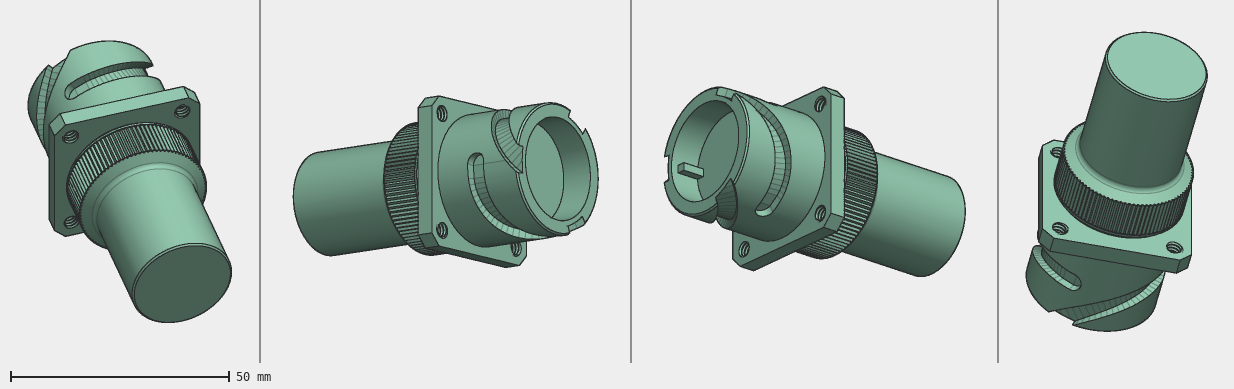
import cadquery as cq
import math

length = 68.2
body_radius = 15.35
tube_radius = 12.0

flange_side = 35.05
flange_front = 23.0
flange_back = 27.0
flange_corner = 2.65
hole_offset = 13.5
hole_radius = 1.65
thread_depth = 0.4
thread_start = -135.0
thread_pitch = 0.9

rim_chamfer = 0.4
socket_depth = 7.8
key_front = 2.0
key_width = 1.9
key_height = 2.1

neck_radius = 12.7
neck_chamfer = 0.7

ring_front = 28.1
ring_chamfer_length = 1.1
ring_chamfer_height = 0.95
knurl_front = 29.8
knurl_back = 38.8
tooth_count = 93
knurl_depth = 0.5

cone_angle = 60.0
cone_fillet = 1.5
tube_chamfer = 0.4

slot_count = 3
slot_width = 4.65
slot_depth = 2.1
slot_reach = 11.95
spiral_sweep = 109.0
lock_sweep = 13.0
slot_step = 5.2
lead_in = 10.0


def turned_body():
    """Solid of revolution holding the shell, neck, ring and tube."""
    slope = math.radians(cone_angle)
    fillet_rise = cone_fillet * (1 - math.cos(slope))
    cone_drop = body_radius - tube_radius - fillet_rise
    cone_end = knurl_back + cone_drop / math.tan(slope)
    fillet_end = cone_end + cone_fillet * math.sin(slope)
    fillet_middle = (
        fillet_end - cone_fillet * math.sin(slope / 2),
        tube_radius + cone_fillet * (1 - math.cos(slope / 2)),
    )
    profile = (
        cq.Workplane("XY")
        .lineTo(0, body_radius - rim_chamfer)
        .lineTo(rim_chamfer, body_radius)
        .lineTo(flange_back, body_radius)
        .lineTo(flange_back, neck_radius)
        .lineTo(ring_front - neck_chamfer, neck_radius)
        .lineTo(ring_front, neck_radius - neck_chamfer)
        .lineTo(ring_front, body_radius - ring_chamfer_height)
        .lineTo(ring_front + ring_chamfer_length, body_radius)
        .lineTo(knurl_back, body_radius)
        .lineTo(cone_end, tube_radius + fillet_rise)
        .threePointArc(fillet_middle, (fillet_end, tube_radius))
        .lineTo(length - tube_chamfer, tube_radius)
        .lineTo(length, tube_radius - tube_chamfer)
        .lineTo(length, 0)
        .close()
    )
    return profile.revolve(360, (0, 0, 0), (1, 0, 0))


def flange():
    """Square plate with cut corners."""
    return (
        cq.Workplane("YZ", origin=(flange_front, 0, 0))
        .rect(flange_side, flange_side)
        .extrude(flange_back - flange_front)
        .edges("|X")
        .chamfer(flange_corner)
    )


def thread_groove():
    """Cutter for the helical groove of a threaded hole on the X axis."""
    thickness = flange_back - flange_front
    overlap = 0.1
    groove_half_width = 0.45 * thread_pitch
    helix_start = flange_front - thread_pitch
    helix = cq.Wire.makeHelix(
        thread_pitch,
        thickness + 2 * thread_pitch,
        hole_radius,
        center=cq.Vector(helix_start, 0, 0),
        dir=cq.Vector(1, 0, 0),
    )
    start = helix.startPoint()
    outward = cq.Vector(0, start.y, start.z).normalized()
    across = cq.Vector(1, 0, 0)
    root = start - outward * overlap
    corners = [
        root - across * groove_half_width,
        start + outward * thread_depth,
        root + across * groove_half_width,
    ]
    section = cq.Wire.makePolygon(corners, close=True)
    groove = cq.Workplane(cq.Solid.sweep(section, [], helix, True, True))
    return groove.rotate((0, 0, 0), (1, 0, 0), thread_start)


def tapped_flange():
    """Flange with a threaded hole near each corner, each thread starting toward its corner."""
    plate = flange()
    groove = thread_groove()
    hole_distance = hole_offset * math.sqrt(2)
    for corner in range(4):
        angle = 45 + 90 * corner
        placed_groove = groove.translate((0, hole_distance, 0)).rotate((0, 0, 0), (1, 0, 0), angle)
        plate = plate.cut(placed_groove)
    return (
        plate.faces("<X")
        .workplane(origin=(flange_front, 0, 0))
        .rect(2 * hole_offset, 2 * hole_offset, forConstruction=True)
        .vertices()
        .hole(2 * hole_radius)
    )


def knurl_grooves():
    """V grooves side by side around the coupling ring."""
    half_pitch = math.pi / tooth_count
    root_radius = body_radius - knurl_depth
    points = []
    for tooth in range(tooth_count):
        valley = 2 * half_pitch * tooth
        peak = valley + half_pitch
        points.append((root_radius * math.cos(valley), root_radius * math.sin(valley)))
        points.append((body_radius * math.cos(peak), body_radius * math.sin(peak)))
    margin = 0.7
    return (
        cq.Workplane("YZ", origin=(knurl_front, 0, 0))
        .circle(body_radius + margin)
        .polyline(points)
        .close()
        .extrude(knurl_back - knurl_front)
    )


def slot_cutter():
    """Cutter for the slot that enters the rim at the +Y side."""
    floor_radius = body_radius - slot_depth
    top_radius = body_radius + 0.7
    spiral_length = body_radius * math.radians(spiral_sweep)
    path_radius = (spiral_length**2 + slot_reach**2) / (2 * slot_reach)

    def cross_section(angle):
        """Box section of the slot, square to its path, at an angle in degrees from +Y."""
        turn = math.radians(angle)
        to_go = max(body_radius * math.radians(spiral_sweep - angle), 0)
        slope = math.asin(to_go / path_radius)
        x = slot_reach - path_radius * (1 - math.cos(slope))
        outward = cq.Vector(0, math.cos(turn), math.sin(turn))
        around = cq.Vector(0, -math.sin(turn), math.cos(turn))
        sideways = cq.Vector(math.cos(slope), 0, 0) - around * math.sin(slope)
        half = sideways * (slot_width / 2)
        floor = cq.Vector(x, 0, 0) + outward * floor_radius
        top = cq.Vector(x, 0, 0) + outward * top_radius
        return cq.Wire.makePolygon([floor - half, floor + half, top + half, top - half], close=True)

    flats = round((spiral_sweep + lead_in) / slot_step)
    angles = [spiral_sweep - slot_step * (flats - flat) for flat in range(flats + 1)]
    end_angle = spiral_sweep + lock_sweep
    angles.append(end_angle)
    channel = cq.Solid.makeLoft([cross_section(angle) for angle in angles], True)

    turn = math.radians(end_angle)
    outward = cq.Vector(0, math.cos(turn), math.sin(turn))
    closed_end = cq.Solid.makeCylinder(
        slot_width / 2,
        top_radius - floor_radius,
        cq.Vector(slot_reach, 0, 0) + outward * floor_radius,
        outward,
    )
    return cq.Workplane(channel).union(cq.Workplane(closed_end))


def key():
    """Alignment key on the +Y wall of the socket."""
    wall_overlap = 0.35
    return cq.Workplane("XY").box(
        socket_depth - key_front, key_height + wall_overlap, key_width, centered=(False, False, True)
    ).translate((key_front, tube_radius - key_height, 0))


result = turned_body().union(tapped_flange())

socket = cq.Workplane("YZ").circle(tube_radius).extrude(socket_depth)
result = result.cut(socket).union(key())

result = result.cut(knurl_grooves())

slot = slot_cutter()
for index in range(slot_count):
    result = result.cut(slot.rotate((0, 0, 0), (1, 0, 0), index * 360 / slot_count))